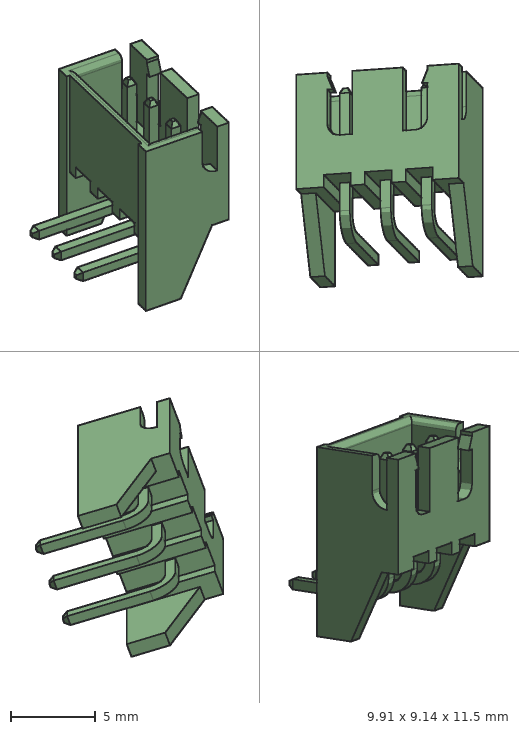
import cadquery as cq


width = 9.91
depth = 5.73
height = 11.51
shell_height = 7.0
shell_bottom = height - shell_height
leg_thickness = 0.9
front_recess = 0.22
foot_depth = 2.4
back_step = 1.16

wall = 0.82
back_wall = 0.8
cavity_front = 0.8
floor_thickness = 1.15
lip_radius = 0.39

side_slot_width = 1.04
side_slot_depth = 3.17
finger_width = 1.9
center_panel_width = 3.08
back_slot_depth = 3.87
back_slot_radius = 0.76

hook_reach = 0.33
hook_start = 0.22
hook_end = 1.04

notch_width = 1.65
notch_height = 0.76
notch_offset = -0.05
notch_top = shell_bottom + notch_height

pin_count = 3
pin_pitch = 2.5
pin_row_offset = 0.02
pin_size = 0.63
pin_y = 3.36
pin_top = 11.11
pin_front = -3.41
pin_tail_z = 2.31
bend_inner_radius = 0.95
tip_length = 0.35
tip_size = 0.28

half_width = width / 2
cavity_back = depth - back_wall
cavity_floor = notch_top + floor_thickness
row_positions = [(i - (pin_count - 1) / 2) * pin_pitch for i in range(pin_count)]


def block(x_range, y_range, z_range):
    """Box spanning the given coordinate ranges."""
    spans = [high - low for low, high in (x_range, y_range, z_range)]
    corner = (x_range[0], y_range[0], z_range[0])
    return cq.Workplane("XY").box(*spans, centered=False).translate(corner)


def make_side_profile_body():
    """Full-width body with the slanted leg profile."""
    profile = [
        (0, 0),
        (foot_depth, 0),
        (depth - back_step, shell_bottom),
        (depth, shell_bottom),
        (depth, height),
        (0, height),
    ]
    return cq.Workplane("YZ").polyline(profile).close().extrude(half_width, both=True)


def make_lip(plane, corner, length):
    """Quarter-round strip along the plane normal, its inner corner at the given point."""
    return (
        cq.Workplane(plane, origin=corner)
        .lineTo(lip_radius, 0)
        .radiusArc((0, lip_radius), -lip_radius)
        .close()
        .extrude(length)
    )


def make_cavity():
    """Cavity whose front and side walls end in a convex rounded lip."""
    half_cavity = half_width - wall
    half_mouth = half_cavity + lip_radius
    lip_base = height - lip_radius
    mouth_front = cavity_front - lip_radius
    cavity = block((-half_cavity, half_cavity), (cavity_front, cavity_back), (cavity_floor, height))
    mouth = block((-half_mouth, half_mouth), (mouth_front, cavity_back), (lip_base, height))

    front_lip = make_lip("YZ", (-half_mouth, mouth_front, lip_base), 2 * half_mouth)
    side_lip = make_lip("XZ", (-half_mouth, cavity_back, lip_base), cavity_back - mouth_front)
    mouth = mouth.cut(front_lip).cut(side_lip).cut(side_lip.mirror("YZ"))
    return cavity.union(mouth)


def make_side_slot():
    """Slot across both side walls, in front of the back wall, with one rounded bottom corner."""
    slot_front = cavity_back - side_slot_width
    slot_bottom = height - side_slot_depth
    return (
        cq.Workplane("YZ")
        .moveTo(cavity_back, height)
        .lineTo(cavity_back, slot_bottom)
        .radiusArc((slot_front, slot_bottom + side_slot_width), side_slot_width)
        .lineTo(slot_front, height)
        .close()
        .extrude(half_width, both=True)
    )


def make_back_slot():
    """Left slot of the back wall, rounded at the bottom on the finger side."""
    finger_edge = -half_width + finger_width
    slot_bottom = height - back_slot_depth
    return (
        cq.Workplane("XZ", origin=(0, cavity_back, 0))
        .moveTo(finger_edge, height)
        .lineTo(finger_edge, slot_bottom + back_slot_radius)
        .radiusArc((finger_edge + back_slot_radius, slot_bottom), -back_slot_radius)
        .lineTo(-center_panel_width / 2, slot_bottom)
        .lineTo(-center_panel_width / 2, height)
        .close()
        .extrude(-back_wall)
    )


def make_hook():
    """Wedge on the inner edge of the left back finger."""
    finger_edge = -half_width + finger_width
    return (
        cq.Workplane("XZ", origin=(0, cavity_back, 0))
        .moveTo(finger_edge, height - hook_start)
        .lineTo(finger_edge + hook_reach, height - hook_end)
        .lineTo(finger_edge, height - hook_end)
        .close()
        .extrude(-back_wall)
    )


def make_housing():
    """Shell with two legs, recessed front wall, bottom notches, cavity, slots and hooks."""
    inner_half = half_width - leg_thickness
    body = make_side_profile_body()
    body = body.cut(block((-inner_half, inner_half), (0, depth), (0, shell_bottom)))
    body = body.cut(block((-inner_half, inner_half), (0, front_recess), (0, height)))
    for x in row_positions:
        notch_left = x + notch_offset - notch_width / 2
        notch_x = (notch_left, notch_left + notch_width)
        body = body.cut(block(notch_x, (0, depth), (shell_bottom, notch_top)))
    body = body.cut(make_cavity())
    body = body.cut(make_side_slot())
    back_slot = make_back_slot()
    hook = make_hook()
    body = body.cut(back_slot).cut(back_slot.mirror("YZ"))
    return body.union(hook).union(hook.mirror("YZ"))


def make_pin():
    """Square right-angle pin at x = 0, tapered at both ends."""
    half = pin_size / 2
    bend_radius = bend_inner_radius + half
    top_shoulder = pin_top - tip_length
    front_shoulder = pin_front + tip_length
    path = (
        cq.Workplane("YZ")
        .moveTo(pin_y, top_shoulder)
        .lineTo(pin_y, pin_tail_z + bend_radius)
        .radiusArc((pin_y - bend_radius, pin_tail_z), bend_radius)
        .lineTo(front_shoulder, pin_tail_z)
    )
    shaft = cq.Workplane("XY", origin=(0, pin_y, top_shoulder)).rect(pin_size, pin_size).sweep(path)
    tips = [
        cq.Workplane(plane, origin=origin)
        .rect(pin_size, pin_size)
        .workplane(offset=tip_length)
        .rect(tip_size, tip_size)
        .loft()
        for plane, origin in (
            ("XY", (0, pin_y, top_shoulder)),
            ("XZ", (0, front_shoulder, pin_tail_z)),
        )
    ]
    return shaft.union(tips[0]).union(tips[1])


result = make_housing()
pin = make_pin()
for x in row_positions:
    result = result.union(pin.translate((x + pin_row_offset, 0, 0)))